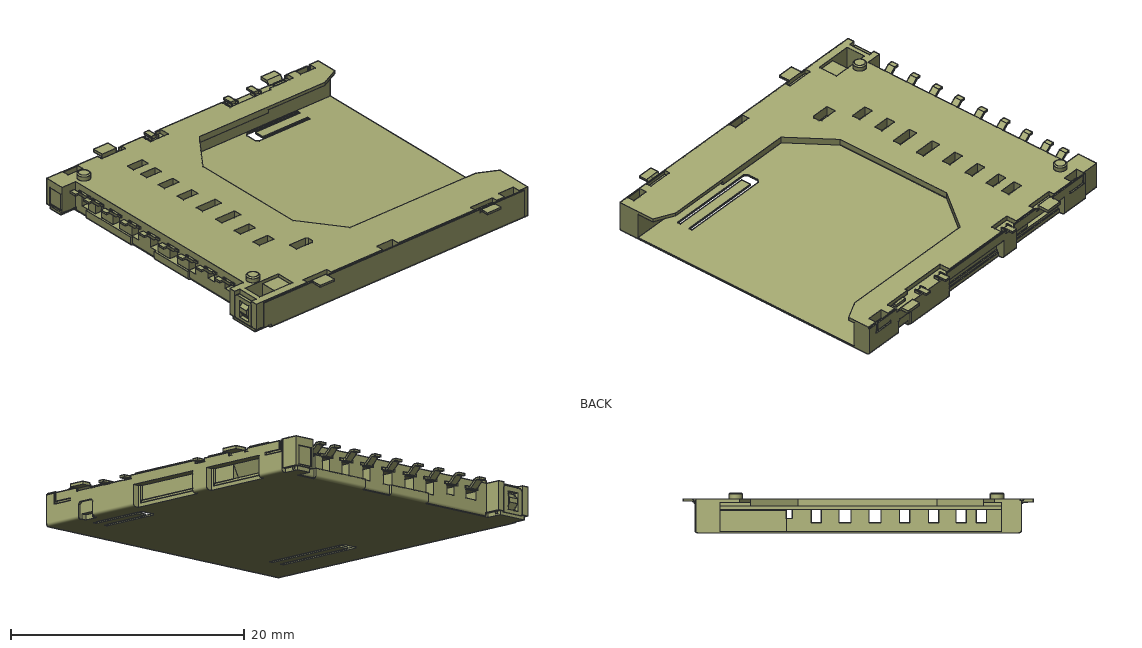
import cadquery as cq

length = 30.5
top = 2.93
boss_top = 3.45
tab_reach = 15.0

housing_half = 13.88
shell_half = 14.0
shell_top = 2.8
shell_front = 1.62
shell_floor = 0.15
shell_bend = 0.27
front_wall_y = 1.52
left_leg_x = -11.83
right_leg_x = 10.37

slot_left = -12.25
slot_right = 11.83
slot_back_wall = 3.65
slot_step_y = 22.25
slot_contact_y = 11.13
slot_roof_mouth = 2.62
slot_roof_mid = 2.32
slot_roof_contact = 2.0

contact_x = [-10.55, -8.8, -6.47, -3.95, -1.43, 1.13, 3.6, 6.1, 8.55]
end_windows = contact_x[7:]
middle_contacts = contact_x[4:6]
window_sill = 0.88
short_sill = 1.25
pin_width = 0.7

tab_floor = 2.5

eps = 0.3


def block(x0, x1, y0, y1, z0, z1):
    """Box between two limits along each axis."""
    return cq.Workplane("XY").box(x1 - x0, y1 - y0, z1 - z0, centered=False).translate((x0, y0, z0))


def profile_along_y(points, y0, y1):
    """Extrude an outline of (x, z) points from y0 to y1."""
    return cq.Workplane("XZ", origin=(0, y0, 0)).polyline(points).close().extrude(y0 - y1)


def profile_along_x(points, x0, x1):
    """Extrude an outline of (y, z) points from x0 to x1."""
    return cq.Workplane("YZ", origin=(x0, 0, 0)).polyline(points).close().extrude(x1 - x0)


def make_body():
    """Plastic housing with its two front legs, wrapped by the folded metal shell."""
    shell = block(-shell_half, shell_half, shell_front, length, 0, shell_top)
    shell = shell.edges("|Y and <Z").fillet(shell_bend)
    body = shell.union(block(-housing_half, housing_half, shell_front, length, shell_top, top))

    right_wall_front, right_wall_back = 0.8, 30.05
    outside = shell_half + eps
    body = body.cut(block(housing_half, outside, right_wall_back, length + eps, -eps, top))

    leg_bottom = 0.37
    foot_front, foot_inset = 0.12, 0.3
    wall = block(left_leg_x, right_leg_x, front_wall_y, slot_back_wall, 0, top)
    body = body.union(wall.edges("|X and <Z and <Y").fillet(shell_bend))
    for x0, x1 in ((-housing_half, left_leg_x), (right_leg_x, housing_half)):
        body = body.union(block(x0, x1, 0, slot_back_wall, leg_bottom, top))
        body = body.union(block(x0 + foot_inset, x1 - foot_inset, foot_front, slot_back_wall, 0, leg_bottom))
    right_wall = block(housing_half, shell_half, right_wall_front, slot_back_wall, leg_bottom, shell_top)
    return body.union(right_wall)


def add_front_flaps(body):
    """Shell flaps folded up against the front wall."""
    flap_front = 1.3
    for x0, x1 in ((-10.22, -4.3), (-1.2, 3.25)):
        flap = block(x0, x1, flap_front, slot_back_wall, 0, window_sill)
        body = body.union(flap.edges("|X and <Z and <Y").fillet(shell_bend))
    return body


def cut_card_slot(body):
    """Card slot open at the back, with a stepped roof and a cutaway over the card."""
    sections = (
        (slot_back_wall, slot_contact_y, slot_roof_contact),
        (slot_contact_y, slot_step_y, slot_roof_mid),
        (slot_step_y, length + eps, slot_roof_mouth),
    )
    for y0, y1, roof in sections:
        body = body.cut(block(slot_left, slot_right, y0, y1, shell_floor, roof))

    left, right = -10.75, 9.25
    nose_left, nose_right, nose_y = -6.75, 5.15, 11.5
    corner_y = 14.5
    flare = 0.95
    flare_y = 28.58
    cutaway = [
        (left - flare, length), (left, flare_y), (left, corner_y), (nose_left, nose_y),
        (nose_right, nose_y), (right, corner_y), (right, flare_y), (right + flare, length),
    ]
    opening = cq.Workplane("XY", origin=(0, 0, shell_floor)).polyline(cutaway).close().extrude(top)
    return body.cut(opening)


def cut_floor_springs(body):
    """U-shaped slits in the shell floor, each leaving a spring finger fixed at its back end."""
    slit_back = 26.7
    slit_width = 0.35
    end_gap = 0.9
    corner = 0.25
    spring_width = 1.65
    for x0, slit_front in ((-12.1, 20.75), (9.0, 17.57)):
        x1 = x0 + spring_width
        slit = block(x0, x1, slit_front, slit_back, -eps, shell_floor + eps)
        slit = slit.edges("|Z and <Y").chamfer(corner)
        finger = block(x0 + slit_width, x1 - slit_width, slit_front + end_gap, slit_back,
                       -eps, shell_floor + eps)
        body = body.cut(slit.cut(finger))
    return body


def cut_front_windows(body):
    """Windows through the front wall into the card slot, one below each contact."""
    width = 0.85
    middle_width = 1.0
    last_width = 1.2
    for x in contact_x:
        sill = short_sill if x in end_windows else window_sill
        half = width / 2
        if x in middle_contacts:
            half = middle_width / 2
        if x == contact_x[-1]:
            half = last_width / 2
        body = body.cut(block(x - half, x + half, 0, slot_back_wall + eps, sill, slot_roof_contact))
    return body


def cut_roof_openings(body):
    """Openings above the contacts and one over the eject slider."""
    opening_width = 0.82
    half = opening_width / 2
    front, back, long_back = 6.6, 8.25, 8.72
    for x in contact_x[:-1]:
        end = long_back if x in middle_contacts else back
        body = body.cut(block(x - half, x + half, front, end, slot_roof_contact - eps, top + eps))
    slider_opening = block(8.1, 9.03, 8.63, 10.58, slot_roof_contact, top + eps)
    corner = 0.18
    return body.cut(slider_opening.edges("|Z and >Y").chamfer(corner))


def add_pins(body):
    """Contact tails leaving the front wall and bent up to the mounting plane."""
    tip_y, bend_y = 0.12, 0.58
    foot_bottom = 2.75
    root_bottom, root_top = 2.1, 2.32
    collar_width = 1.5
    collar_half = collar_width / 2
    collar_front = 1.4
    root_gap = 0.25
    root_y = front_wall_y - root_gap
    thickness = top - foot_bottom
    outline = [
        (tip_y, foot_bottom), (bend_y - thickness / 2, foot_bottom), (root_y - thickness / 2, root_bottom),
        (front_wall_y + eps, root_bottom), (front_wall_y + eps, root_top), (root_y, root_top),
        (bend_y, top), (tip_y, top),
    ]
    for x in contact_x:
        body = body.union(profile_along_x(outline, x - pin_width / 2, x + pin_width / 2))
        body = body.union(block(x - collar_half, x + collar_half, collar_front, front_wall_y + eps,
                                root_bottom, root_top))
    return body


def add_slider(body):
    """Eject slider at the right front of the slot, seen through the end windows."""
    height = 1.95
    slider_left, slider_back = 6.15, 6.28
    bevel = 0.37
    slider = block(slider_left, slot_right + eps, slot_back_wall + eps, slider_back, 0, height)
    return body.union(slider.edges("|X and >Z and <Y").chamfer(bevel))


def add_bosses(body):
    """Bevelled locating bosses on the upper face."""
    diameter = 1.2
    bevel = 0.12
    boss_y = 2.5
    for x in (-11.9, 10.5):
        seat = cq.Workplane("XY", origin=(x, boss_y, top - eps))
        boss = seat.circle(diameter / 2).extrude(boss_top - top + eps)
        body = body.union(boss.faces(">Z").chamfer(bevel))
    return body


def cut_side_pockets(body):
    """Shallow pockets along both upper edges, with narrower slots through the shell walls."""
    inner = 13.33
    left_pockets = ((24.3, 27.0, 13.05), (19.67, 24.3, 12.8), (10.75, 12.75, 12.8), (5.73, 8.4, inner))
    for y0, y1, depth_x in left_pockets:
        body = body.cut(block(-housing_half, -depth_x, y0, y1, tab_floor, top + eps))
    for y0, y1 in ((20.13, 26.85), (11.13, 12.25), (5.9, 8.15)):
        body = body.cut(block(-shell_half - eps, -housing_half, y0, y1, tab_floor, top + eps))
    for y0, y1 in ((24.52, 27.0), (5.73, 8.4)):
        body = body.cut(block(inner, housing_half, y0, y1, tab_floor, top + eps))
    return body


def add_tabs(body):
    """Solder tabs rising from the shell walls and bent out to the mounting plane."""
    bend_x = 14.2
    root_z = tab_floor - eps
    for side, thickness in ((-1, 0.27), (1, 0.18)):
        back_tab = [
            (tab_reach, top - thickness), (bend_x, top - thickness), (shell_half, tab_floor),
            (shell_half, root_z), (housing_half, root_z), (housing_half, tab_floor),
            (bend_x, top), (tab_reach, top),
        ]
        front_tab = [
            (tab_reach, top - thickness), (shell_half, top - thickness), (shell_half, root_z),
            (housing_half, root_z), (housing_half, top), (tab_reach, top),
        ]
        for outline, y0, y1 in ((back_tab, 25.0, 26.55), (front_tab, 6.22, 7.85)):
            placed = [(side * x, z) for x, z in outline]
            body = body.union(profile_along_y(placed, y0, y1))
    key_top = 2.75
    return body.union(block(-13.5, -13.2, 25.13, 26.38, tab_floor - eps, key_top))


def add_side_terminals(body):
    """Narrow switch terminals on the left side, each with a forked root."""
    width = 0.55
    fork_width = 0.82
    bottom, terminal_top, fork_top = 2.62, 2.8, 2.75
    outer_x, fork_outer_x, terminal_inner_x, fork_inner_x = -14.52, -13.85, -13.57, -13.33
    for y in (23.27, 20.68, 11.75):
        y0, y1 = y - width / 2, y + width / 2
        body = body.union(block(outer_x, terminal_inner_x, y0, y1, bottom, terminal_top))
        fork = block(fork_outer_x, fork_inner_x, y - fork_width / 2, y + fork_width / 2,
                     tab_floor - eps, fork_top)
        notch = block(terminal_inner_x, fork_inner_x + eps, y0, y1, tab_floor, top)
        body = body.union(fork.cut(notch))
    return body


def cut_latches(body):
    """Shell latches: a pocket in the upper face and an L-shaped slit in the left wall."""
    pocket_inner = 13.1
    slit_bottom, slit_top = 1.83, 2.05
    slit_depth_x = -13.85
    slit_width = 0.25
    left_latches = ((27.88, 29.52, 27.6, 29.6, 29.35), (1.77, 3.42, 1.75, 3.65, 1.75))
    for y0, y1, slit_y0, slit_y1, riser_y in left_latches:
        body = body.cut(block(-housing_half, -pocket_inner, y0, y1, slit_top, top + eps))
        body = body.cut(block(-shell_half - eps, slit_depth_x, slit_y0, slit_y1, slit_bottom, slit_top))
        body = body.cut(block(-shell_half - eps, slit_depth_x, riser_y, riser_y + slit_width,
                              slit_bottom, top + eps))
    for y0, y1 in ((27.88, 29.52), (14.18, 15.92)):
        body = body.cut(block(pocket_inner, housing_half, y0, y1, slit_top, top + eps))
    return body


def cut_side_windows(body):
    """Openings in the left shell wall that bare the stepped foot of the housing."""
    outside = -shell_half - eps
    lower_step, upper_step, window_top = 0.37, 0.6, 1.92
    lower_x, upper_x, wall_x = -13.42, -13.3, -13.18
    jamb = 0.25
    back_window, front_window = (12.57, 19.82), (4.45, 10.85)
    lean_back, lean_foot_x = 8.4, -12.47
    for y0, y1 in (back_window, front_window):
        body = body.cut(block(outside, lower_x, y0, y1, -eps, window_top))
        body = body.cut(block(outside, upper_x, y0, y1 - jamb, lower_step, window_top))
        body = body.cut(block(outside, wall_x, y0, y1 - jamb, upper_step, window_top))

    lean = [(wall_x, upper_step), (wall_x, window_top), (lean_foot_x, upper_step)]
    body = body.cut(profile_along_y(lean, front_window[0], lean_back))

    notch_y0, notch_y1, notch_top = 24.85, 26.6, 1.52
    lip_top, lip_x, lip_bevel = 0.45, -13.8, 0.2
    notch = block(outside, lip_x, notch_y0, notch_y1, -eps, notch_top).edges("|X and >Z").chamfer(lip_bevel)
    inner_notch = block(outside, upper_x, notch_y0 + lip_bevel, notch_y1 - lip_bevel, -eps, lip_top)
    return body.cut(notch).cut(inner_notch)


def detail_legs(body):
    """Shallow panel in the front of the left leg and a gap above the shell under both legs."""
    panel_depth = 0.12
    gap_front, gap_back = 0.5, 0.73
    gap_top = 0.37
    outside = shell_half + eps
    body = body.cut(block(-13.5, -12.05, -eps, panel_depth, 0.52, 2.17))
    return body.cut(block(-outside, outside, gap_front, gap_back, shell_floor, gap_top))


def add_eject_bar(body):
    """Stepped well in the upper face of the right leg and an eject bar closing its front."""
    well_left, well_right = 11.2, 13.1
    well_front, step_y, well_back = 1.05, 3.0, 4.75
    shallow_floor, deep_floor = 2.62, 0.37
    body = body.cut(block(well_left, well_right, step_y, well_back, shallow_floor, top + eps))
    body = body.cut(block(well_left, well_right, well_front, step_y, deep_floor, top + eps))

    bar_left, bar_right = 11.0, 13.2
    bar_bottom, bar_top = 0.27, 2.65
    bar_front, bar_back = 0.05, 0.58
    corner = 0.18
    groove_front, groove_bottom = 0.35, 2.45
    pocket_depth = 0.43
    body = body.cut(block(bar_left, bar_right, -eps, bar_back, bar_bottom, top + eps))
    bar = block(bar_left, bar_right, bar_front, bar_back, bar_bottom, bar_top)
    bar = bar.edges("|Y and >Z").chamfer(corner)
    bar = bar.cut(block(bar_left, bar_right, groove_front, bar_back, groove_bottom, top))
    bar = bar.cut(block(11.6, 12.75, 0, pocket_depth, 0.6, 2.23))
    nub_outline = [(0, 1.25), (pocket_depth, 0.6), (pocket_depth, 2.1), (0.25, 1.95), (0, 1.68)]
    return body.union(bar).union(profile_along_x(nub_outline, 11.68, 12.6))


result = make_body()
for feature in (
    add_front_flaps, cut_card_slot, cut_floor_springs, add_slider, cut_front_windows, cut_roof_openings,
    add_pins, add_bosses, cut_side_pockets, add_tabs, add_side_terminals, cut_latches, cut_side_windows,
    detail_legs, add_eject_bar,
):
    result = feature(result)